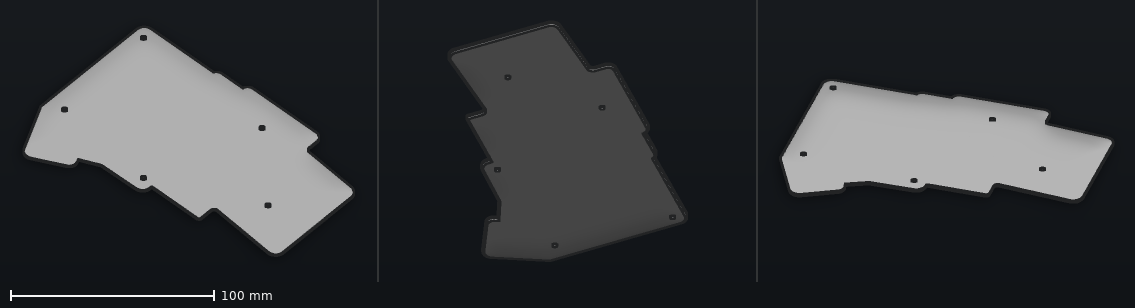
import cadquery as cq
import math

width = 152.5
depth = 108.5
thickness = 2.0
edge_chamfer = 0.99
hole_diameter = 2.5

corner_radius = 4.1
large_radius = 5.0
small_radius = 2.1
lower_radius = 1.5

left_top = 103.1
middle_top = 105.3
middle_left = 47.0
upper_left = 64.5
upper_right = 115.2

wing_slope = math.tan(math.radians(5))
wing_top = 93.5
wing_bottom = 34.2
wing_root = 107.7

lower_edge = 27.3
tab_right = 75.8
tab_bottom = 21.2
tab_left = (48.0, 20.7)

thumb_inner = (37.2, 15.9)
thumb_right = (39.4, 10.7)
thumb_tip = (15.0, -1.7)
thumb_left = (0, 28.7)

hole_centers = [(6.3, 96.3), (89.4, 92.5), (126.2, 57.2), (9.9, 35.2), (69.0, 28.7)]


def step_up(start_x, low, high):
    """Points of a quarter-round corner cut off by the lower edge: foot, arc middle, arc end."""
    start_angle = math.acos((corner_radius - (high - low)) / corner_radius)
    run = corner_radius * math.sin(start_angle)
    center = (start_x + run, high - corner_radius)
    middle = (
        center[0] - corner_radius * math.sin(start_angle / 2),
        center[1] + corner_radius * math.cos(start_angle / 2),
    )
    return (start_x, low), middle, (center[0], high)


def build_plate():
    middle_step = step_up(middle_left, left_top, middle_top)
    upper_step = step_up(upper_left, middle_top, depth)
    rounded_corners = [
        ((0, left_top), large_radius),
        ((upper_right, depth), corner_radius),
        ((upper_right, wing_top + (width - upper_right) * wing_slope), small_radius),
        ((width, wing_top), large_radius),
        ((width, wing_bottom), large_radius),
        ((wing_root, wing_bottom + (width - wing_root) * wing_slope), small_radius),
        ((wing_root, lower_edge), lower_radius),
        ((tab_right, tab_bottom), large_radius),
        (thumb_right, corner_radius),
        (thumb_tip, large_radius),
    ]
    corners = [point for point, radius in rounded_corners]
    outline = (
        cq.Workplane("XY")
        .moveTo(*corners[0])
        .lineTo(*middle_step[0])
        .threePointArc(*middle_step[1:])
        .lineTo(*upper_step[0])
        .threePointArc(*upper_step[1:])
    )
    for point in corners[1:7]:
        outline = outline.lineTo(*point)
    outline = outline.lineTo(tab_right, lower_edge)
    for point in (corners[7], tab_left, thumb_inner, *corners[8:], thumb_left):
        outline = outline.lineTo(*point)
    plate = outline.close().extrude(thickness)
    for point, radius in rounded_corners:
        corner_edge = cq.selectors.NearestToPointSelector((*point, thickness / 2))
        plate = plate.edges("|Z").edges(corner_edge).fillet(radius)
    return plate.faces("<Z").edges().chamfer(edge_chamfer)


def drill_holes(plate):
    drills = cq.Workplane("XY").pushPoints(hole_centers).circle(hole_diameter / 2).extrude(thickness)
    return plate.cut(drills)


result = drill_holes(build_plate())